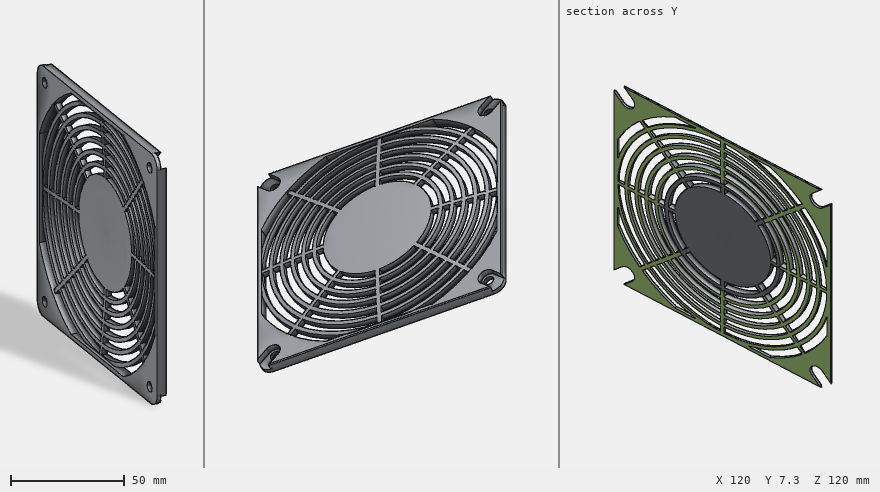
import cadquery as cq
import math

frame_side = 120.0
frame_depth = 4.8
back_bevel = 0.5
rim_width = 2.2
opening_radius = 63.5

corner_radius = 6.0
face_plate_depth = 1.9
screw_pitch = 105.0
screw_hole_diameter = 4.7
slot_width = 7.8
slot_length = 18.0

total_depth = 7.3
dome_radius = 588.0
grille_thickness = 2.8
hub_radius = 26.5
ring_width = 2.0
ring_pitch = 5.5
first_ring_radius = 32.0
ring_count = 6
spoke_width = 2.2
spoke_count = 8


def cylinder(radius, depth):
    """Cylinder on the Y axis, from the front face toward the back."""
    return cq.Workplane("XZ").circle(radius).extrude(-depth)


def opening():
    """Round opening flattened where it reaches the four sides."""
    flat_side = frame_side - 2 * rim_width
    square = cq.Workplane("XZ").rect(flat_side, flat_side).extrude(-total_depth)
    return cylinder(opening_radius, total_depth).intersect(square)


def screw_slot():
    """Slot from the screw hole out through the +X +Z corner, behind the face plate."""
    hole_distance = screw_pitch / math.sqrt(2)
    return (
        cq.Workplane("XZ", origin=(0, face_plate_depth, 0))
        .center(hole_distance + slot_length / 2, 0)
        .slot2D(slot_length + slot_width, slot_width)
        .extrude(-frame_depth)
        .rotate((0, 0, 0), (0, 1, 0), -45)
    )


def frame():
    """Rounded face plate, square rim behind it, opening and screw corners."""
    plate = (
        cq.Workplane("XZ")
        .rect(frame_side, frame_side)
        .extrude(-face_plate_depth)
        .edges("|Y")
        .fillet(corner_radius)
    )
    rim = (
        cq.Workplane("XZ", origin=(0, face_plate_depth, 0))
        .rect(frame_side, frame_side)
        .extrude(face_plate_depth - frame_depth)
        .faces(">Y")
        .chamfer(back_bevel)
    )
    slot = screw_slot()
    for quarter in range(4):
        rim = rim.cut(slot.rotate((0, 0, 0), (0, 1, 0), 90 * quarter))
    screw_holes = (
        cq.Workplane("XZ")
        .rect(screw_pitch, screw_pitch, forConstruction=True)
        .vertices()
        .circle(screw_hole_diameter / 2)
        .extrude(-frame_depth)
    )
    return plate.union(rim).cut(opening()).cut(screw_holes)


def dome_shell():
    """Spherical shell bulging toward the back, reaching past the opening."""
    centre_y = total_depth - dome_radius
    inner_radius = dome_radius - grille_thickness
    reach = opening_radius + ring_width

    def sphere_point(radius, distance):
        return (distance, centre_y + math.sqrt(radius**2 - distance**2))

    return (
        cq.Workplane("XY")
        .moveTo(*sphere_point(inner_radius, 0))
        .lineTo(*sphere_point(dome_radius, 0))
        .threePointArc(sphere_point(dome_radius, reach / 2), sphere_point(dome_radius, reach))
        .lineTo(*sphere_point(inner_radius, reach))
        .threePointArc(sphere_point(inner_radius, reach / 2), sphere_point(inner_radius, 0))
        .close()
        .revolve(360, (0, 0, 0), (0, 1, 0))
    )


def grille_pattern():
    """Straight hub, rings and spokes that the dome is trimmed to."""
    pattern = cylinder(hub_radius, total_depth)
    for index in range(ring_count):
        outer_radius = first_ring_radius + index * ring_pitch
        ring_hole = cylinder(outer_radius - ring_width, total_depth)
        pattern = pattern.union(cylinder(outer_radius, total_depth).cut(ring_hole))
    bar_length = frame_side * math.sqrt(2)
    bar = cq.Workplane("XZ").rect(bar_length, spoke_width).extrude(-total_depth)
    for index in range(spoke_count // 2):
        pattern = pattern.union(bar.rotate((0, 0, 0), (0, 1, 0), index * 360 / spoke_count))
    return pattern


grille = dome_shell().intersect(grille_pattern()).intersect(opening())
result = frame().union(grille)